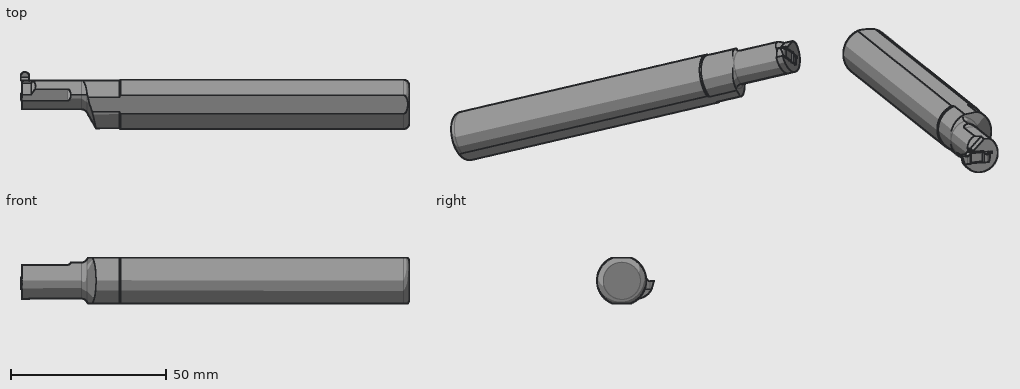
import cadquery as cq
import math


holder_length = 125.0
shank_radius = 8.0
head_radius = 7.75
flat_height = 7.4
head_end = 31.4
step_length = 0.5
tail_round = 2.0

neck_radius = 6.0
neck_axis_front = 4.4
neck_axis_back = head_radius - neck_radius
neck_root_x = 20.4
neck_root_fillet = 2.0
shoulder_angle = 60.0
cone_outer_radius = 16.0

relief_flat_z = 5.08
relief_flat_end = 14.7
relief_runout_radius = 1.2

insert_middle_y = 5.6
insert_half_length = 4.9
insert_overhang = 0.4
insert_width = 2.8
insert_back_x = insert_width - insert_overhang
nose_radius = insert_width / 2
insert_base_z = -2.75
insert_top_z = 1.05
rake_z = 0.0
end_clearance = 0.75
groove_half_length = 3.2
groove_z = -0.2
step_half_length = 2.2
step_foot_z = 0.75
waist_half_length = 1.9
waist_ramp = 0.45
waist_edge_chamfer = 0.4

gap_top_z = 0.67
gap_half_length = 5.25
jaw_ledge_z = 1.4
flute_floor_offset = 8.2 / math.sqrt(2)
flute_end_x = 3.0
flute_height = 6.0


def box_between(low, high):
    size = [b - a for a, b in zip(low, high)]
    return cq.Workplane("XY").box(*size, centered=False).translate(tuple(low))


def eccentric_blank(axis_y):
    """Neck, root fillet, shoulder cone and a wide rear, turned about the given axis."""
    lean = math.radians(shoulder_angle)
    tangent_length = neck_root_fillet * math.tan(lean / 2)
    fillet_start = neck_root_x - tangent_length
    fillet_end = (neck_root_x + tangent_length * math.cos(lean),
                  neck_radius + tangent_length * math.sin(lean))
    fillet_middle = (fillet_start + neck_root_fillet * math.sin(lean / 2),
                     neck_radius + neck_root_fillet * (1 - math.cos(lean / 2)))
    cone_end_x = neck_root_x + (cone_outer_radius - neck_radius) / math.tan(lean)
    return (
        cq.Workplane("XY", origin=(0, axis_y, 0))
        .moveTo(0, 0)
        .lineTo(0, neck_radius)
        .lineTo(fillet_start, neck_radius)
        .threePointArc(fillet_middle, fillet_end)
        .lineTo(cone_end_x, cone_outer_radius)
        .lineTo(holder_length, cone_outer_radius)
        .lineTo(holder_length, 0)
        .close()
        .revolve(360, (0, 0, 0), (1, 0, 0))
    )


def bar_stock():
    """Head and shank with the step between them, the rounded tail and the two flats."""
    bar = (
        cq.Workplane("XY")
        .moveTo(0, 0)
        .lineTo(0, head_radius)
        .lineTo(head_end, head_radius)
        .lineTo(head_end + step_length, shank_radius)
        .lineTo(holder_length, shank_radius)
        .lineTo(holder_length, 0)
        .close()
        .revolve(360, (0, 0, 0), (1, 0, 0))
    )
    bar = bar.faces(">X").edges().fillet(tail_round)
    flats = box_between((0, -shank_radius, -flat_height), (holder_length, shank_radius, flat_height))
    return bar.intersect(flats)


def insert_seat_support():
    """Ledge with the full neck radius under the insert's cutting end."""
    disc = cq.Workplane("YZ", origin=(0, neck_axis_front, 0)).circle(neck_radius).extrude(insert_back_x)
    lens_middle = (neck_axis_front + neck_axis_back) / 2
    below = box_between((0, lens_middle, -neck_radius),
                        (insert_back_x, neck_axis_front + neck_radius, insert_base_z))
    return disc.intersect(below)


def relief_flat_cut():
    """Flat on top of the neck that runs out through a concave arc."""
    r = relief_runout_radius
    half = math.sqrt(0.5)
    return (
        cq.Workplane("XZ", origin=(0, head_radius, 0))
        .moveTo(0, relief_flat_z)
        .lineTo(relief_flat_end, relief_flat_z)
        .threePointArc((relief_flat_end + r * half, relief_flat_z + r * (1 - half)),
                       (relief_flat_end + r, relief_flat_z + r))
        .lineTo(0, relief_flat_z + r)
        .close()
        .extrude(2 * head_radius)
    )


def chip_flute_cut():
    """Flute with a 45 degree floor, ending in a sloped wall above the jaw ledge."""
    top = flute_floor_offset + flute_height
    wedge = (
        cq.Workplane("XZ", origin=(0, shank_radius, 0))
        .moveTo(0, flute_floor_offset)
        .lineTo(flute_end_x, flute_floor_offset)
        .lineTo(flute_end_x + flute_height, top)
        .lineTo(0, top)
        .close()
        .extrude(2 * shank_radius)
        .rotate((0, 0, 0), (1, 0, 0), -45)
    )
    above_ledge = box_between((0, 0, jaw_ledge_z),
                              (flute_end_x + flute_height, 2 * shank_radius, 2 * shank_radius))
    return wedge.intersect(above_ledge)


def insert_envelope():
    """Full-width insert with rounded noses, raised middle and leaning ends."""
    half_side = [
        (insert_half_length - end_clearance, insert_base_z),
        (insert_half_length, rake_z),
        (groove_half_length, groove_z),
        (step_half_length, step_foot_z),
        (step_half_length, insert_top_z),
    ]
    other_side = [(-y, z) for y, z in reversed(half_side)]
    side = (
        cq.Workplane("YZ", origin=(-insert_overhang, insert_middle_y, 0))
        .polyline(half_side + other_side)
        .close()
        .extrude(insert_width)
    )
    plan = (
        cq.Workplane("XY", origin=(nose_radius - insert_overhang, insert_middle_y, insert_base_z))
        .slot2D(2 * insert_half_length, 2 * nose_radius, 90)
        .extrude(insert_top_z - insert_base_z)
    )
    return side.intersect(plan)


def waist_cut():
    """Recess between the cutting ends, bringing the middle flush with the holder face."""
    height = insert_top_z - insert_base_z
    ramp_half = waist_half_length + waist_ramp
    recess = (
        cq.Workplane("XY", origin=(0, insert_middle_y, insert_base_z))
        .polyline([(0, -waist_half_length), (-insert_overhang, -ramp_half),
                   (-insert_overhang, ramp_half), (0, waist_half_length)])
        .close()
        .extrude(height)
    )
    c = waist_edge_chamfer
    for edge_z, inward in ((insert_top_z, -1), (insert_base_z, 1)):
        wedge = (
            cq.Workplane("XZ", origin=(0, insert_middle_y + waist_half_length, edge_z))
            .polyline([(0, 0), (c, 0), (0, inward * c)])
            .close()
            .extrude(2 * waist_half_length)
        )
        recess = recess.union(wedge)
    return recess


def build_holder():
    end_gap = box_between((0, insert_middle_y - gap_half_length, rake_z),
                          (insert_back_x, insert_middle_y + gap_half_length, gap_top_z))
    holder = bar_stock()
    for axis_y in (neck_axis_front, neck_axis_back):
        holder = holder.intersect(eccentric_blank(axis_y))
    holder = holder.union(insert_seat_support())
    holder = holder.cut(relief_flat_cut()).cut(chip_flute_cut())
    return holder.cut(end_gap).cut(insert_envelope())


holder = build_holder()
insert = insert_envelope().cut(waist_cut())

result = cq.Compound.makeCompound([holder.solids().val(), insert.solids().val()])